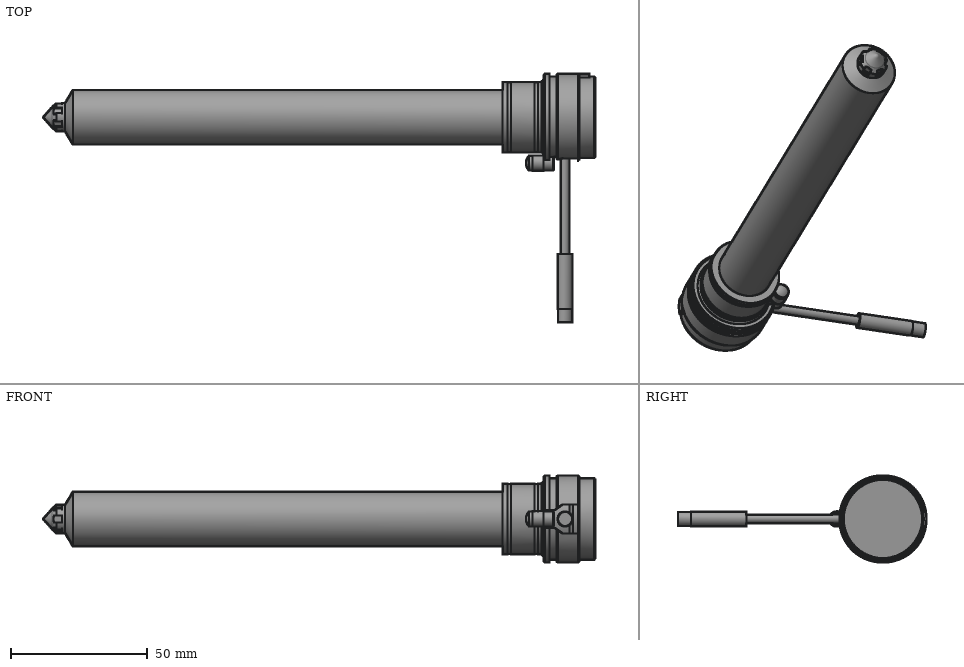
import cadquery as cq

total_length = 202.0
total_depth = 91.0

tip_cone_length = 3.2
tip_cone_radius = 3.6
shoulder_start = 4.8
shoulder_radius = 5.3
shoulder_end = 8.0
spigot_radius = 3.0
spigot_length = 6.0
slot_count = 6
slot_width = 2.5
slot_floor_radius = 4.2
slot_end = 6.9

tube_start = 11.0
tube_radius = 20.0 / 2
collar_start = 168.0
collar_radius = 13.0
collar_flare_length = 0.8
groove_width = 1.2
groove_depth = 0.1
groove_starts = (169.9, 179.8)

head_radius = 16.0
core_radius = 15.0
flange_start = 183.0
flange_end = 185.2
band_start = 187.7
band_end = 196.1
edge_chamfer = 0.6

notch_half_width = 3.2
pocket_half_width = 5.3
notch_end = 187.0
pocket_start = 189.9
ramp_start = 192.5
ramp_end = 193.7
recess_end = band_end - edge_chamfer

web_half_width = 2.0

stop_end = 199.8
stop_half_width = 3.0

screw_y = -16.8
screw_start = 176.5
screw_nose_length = 1.2
screw_radius = 5.5 / 2
screw_band_start = 179.0
screw_band_radius = screw_radius + 0.1
screw_end = 186.8
screw_chamfer = 0.5

cable_x = 190.9
cable_radius = 1.6
cable_insertion = 4.0
plug_radius = 5.5 / 2
ferrule_radius = 2.6
plug_start_y = -49.9
ferrule_start_y = -70.0
cable_end_y = head_radius - total_depth


def turned(outline):
    """Revolve a closed (x, radius) outline about the X axis."""
    return cq.Workplane("XY").polyline(outline).close().revolve(360, (0, 0, 0), (1, 0, 0))


def cylinder_along_x(start, end, radius):
    return cq.Workplane("YZ", origin=(start, 0, 0)).circle(radius).extrude(end - start)


def sleeve(start, end, inner_radius, outer_radius):
    """A hollow cylinder along X."""
    return cylinder_along_x(start, end, outer_radius).cut(cylinder_along_x(start, end, inner_radius))


def rod_along_y(start_y, end_y, radius):
    """A cylinder on the cable axis, running from start_y toward -Y."""
    return cq.Workplane("XZ", origin=(cable_x, start_y, 0)).circle(radius).extrude(start_y - end_y)


def make_tip():
    spigot_end = shoulder_end + spigot_length
    tip = turned([
        (0, 0),
        (tip_cone_length, tip_cone_radius),
        (shoulder_start, shoulder_radius),
        (shoulder_end, shoulder_radius),
        (shoulder_end, spigot_radius),
        (spigot_end, spigot_radius),
        (spigot_end, 0),
    ])
    slot_length = slot_end - tip_cone_length
    slot = cq.Workplane("XY").box(slot_length, shoulder_radius, slot_width, centered=(False, False, True))
    slot = slot.translate((tip_cone_length, slot_floor_radius, 0))
    for i in range(slot_count):
        tip = tip.cut(slot.rotate((0, 0, 0), (1, 0, 0), i * 360 / slot_count))
    return tip


def make_screw():
    nose_sphere_radius = (screw_radius**2 + screw_nose_length**2) / (2 * screw_nose_length)
    nose_sphere = cq.Workplane("XY").sphere(nose_sphere_radius)
    nose_sphere = nose_sphere.translate((screw_start + nose_sphere_radius, 0, 0))
    nose_end = screw_start + screw_nose_length
    nose = nose_sphere.intersect(cylinder_along_x(screw_start, nose_end, screw_radius))
    shank = turned([
        (nose_end, 0),
        (nose_end, screw_radius),
        (screw_band_start, screw_radius),
        (screw_band_start, screw_band_radius),
        (flange_start, screw_band_radius),
        (flange_start, screw_radius),
        (screw_end - screw_chamfer, screw_radius),
        (screw_end, screw_radius - screw_chamfer),
        (screw_end, 0),
    ])
    screw = nose.union(shank)
    return screw.translate((0, screw_y, 0))


def make_cable():
    cable = rod_along_y(cable_insertion - core_radius, plug_start_y, cable_radius)
    plug = rod_along_y(plug_start_y, ferrule_start_y, plug_radius)
    ferrule = rod_along_y(ferrule_start_y, cable_end_y, ferrule_radius)
    return cable.union(plug).union(ferrule)


def make_turned_housing():
    rim_radius = head_radius - edge_chamfer
    return turned([
        (shoulder_end, 0),
        (shoulder_end, shoulder_radius),
        (tube_start, tube_radius),
        (collar_start, tube_radius),
        (collar_start, collar_radius),
        (flange_start - collar_flare_length, collar_radius),
        (flange_start, collar_radius + collar_flare_length),
        (flange_start, rim_radius),
        (flange_start + edge_chamfer, head_radius),
        (flange_end, head_radius),
        (flange_end, core_radius),
        (band_start, core_radius),
        (band_start, rim_radius),
        (band_start + edge_chamfer, head_radius),
        (band_end - edge_chamfer, head_radius),
        (band_end, rim_radius),
        (band_end, core_radius),
        (total_length - edge_chamfer, core_radius),
        (total_length, core_radius - edge_chamfer),
        (total_length, 0),
    ])


def make_recess():
    """The cut reaches the collar radius up to the ramp, which rises to a shallow ledge at the core radius."""
    recess_start = flange_start - collar_flare_length
    half_outline = [
        (recess_start, notch_half_width),
        (notch_end, notch_half_width),
        (pocket_start, pocket_half_width),
        (recess_end, pocket_half_width),
    ]
    mirrored = [(x, -z) for x, z in reversed(half_outline)]
    plan = cq.Workplane("XZ").polyline(half_outline + mirrored).close().extrude(2 * head_radius)
    floor = turned([
        (recess_start, 0),
        (recess_start, collar_radius),
        (ramp_start, collar_radius),
        (ramp_end, core_radius),
        (recess_end, core_radius),
        (recess_end, 0),
    ])
    return plan.cut(floor)


def make_web():
    web_depth = -screw_y
    web = cq.Workplane("XY").box(
        flange_end - flange_start, web_depth, 2 * web_half_width, centered=(False, False, True)
    )
    return web.translate((flange_start, -web_depth, 0))


def make_stop():
    ring = sleeve(band_end, stop_end, core_radius - edge_chamfer, head_radius)
    window = cq.Workplane("XY").box(
        total_length, head_radius, 2 * stop_half_width, centered=(False, False, True)
    )
    return ring.intersect(window)


def make_housing(fitted_bodies):
    housing = make_turned_housing().union(make_stop())
    for start in groove_starts:
        groove = sleeve(start, start + groove_width, collar_radius - groove_depth, head_radius)
        housing = housing.cut(groove)
    housing = housing.cut(make_recess()).union(make_web())
    for body in fitted_bodies:
        housing = housing.cut(body)
    return housing


tip = make_tip()
screw = make_screw()
cable = make_cable()
housing = make_housing([tip, screw, cable])

result = cq.Compound.makeCompound([housing.val(), tip.val(), screw.val(), cable.val()])